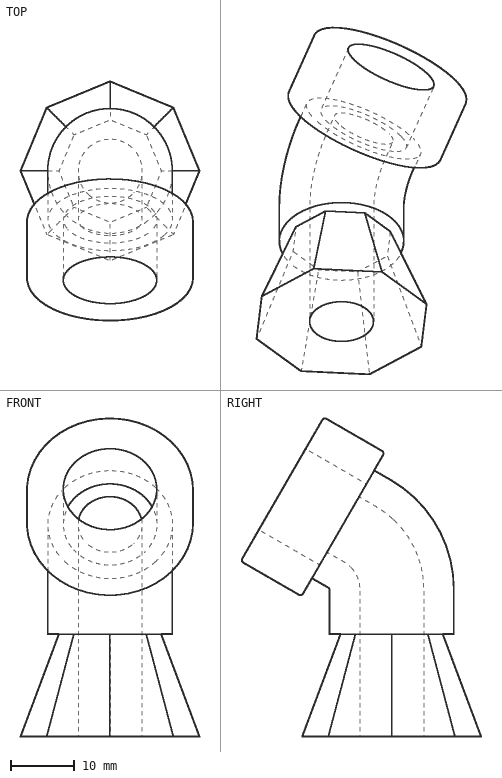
import cadquery as cq
import math

foot_sides = 8
foot_bottom_diameter = 28.0
foot_top_diameter = 16.0
foot_height = 16.0

pipe_diameter = 19.5
bore_diameter = 10.0
riser_length = 7.0
bend_radius = 10.0
bend_angle = 60
neck_length = 3.0

collar_diameter = 26.0
collar_length = 11.0
collar_fillet = 0.5
socket_diameter = 14.6
socket_depth = collar_length

bend_start_z = foot_height + riser_length
angle = math.radians(bend_angle)
bend_end = cq.Vector(
    0,
    -bend_radius * (1 - math.cos(angle)),
    bend_start_z + bend_radius * math.sin(angle),
)
outlet_direction = cq.Vector(0, -math.sin(angle), math.cos(angle))


def outlet_cylinder(diameter, start, length):
    """Cylinder on the outlet axis, starting a given distance past the bend."""
    origin = bend_end + outlet_direction * start
    plane = cq.Plane(origin=origin, xDir=(1, 0, 0), normal=outlet_direction)
    return cq.Workplane(plane).circle(diameter / 2).extrude(length)


def elbow(diameter, start_z):
    """Round bar along the centre line, from start_z to the end of the neck."""
    riser = (
        cq.Workplane("XY", origin=(0, 0, start_z))
        .circle(diameter / 2)
        .extrude(bend_start_z - start_z)
    )
    bend = (
        cq.Workplane("XY", origin=(0, 0, bend_start_z))
        .circle(diameter / 2)
        .revolve(bend_angle, (0, -bend_radius, 0), (1, -bend_radius, 0))
    )
    return riser.union(bend).union(outlet_cylinder(diameter, 0, neck_length))


def octagonal_foot():
    """Pyramid frustum that narrows upward."""
    return (
        cq.Workplane("XY")
        .polygon(foot_sides, foot_bottom_diameter)
        .workplane(offset=foot_height)
        .polygon(foot_sides, foot_top_diameter)
        .loft(ruled=True)
    )


def collar():
    """Outlet collar with both rims rounded."""
    return outlet_cylinder(collar_diameter, neck_length, collar_length).edges("%CIRCLE").fillet(collar_fillet)


body = octagonal_foot().union(elbow(pipe_diameter, foot_height)).union(collar())

socket_start = neck_length + collar_length - socket_depth
socket = outlet_cylinder(socket_diameter, socket_start, socket_depth)
result = body.cut(socket).cut(elbow(bore_diameter, 0))